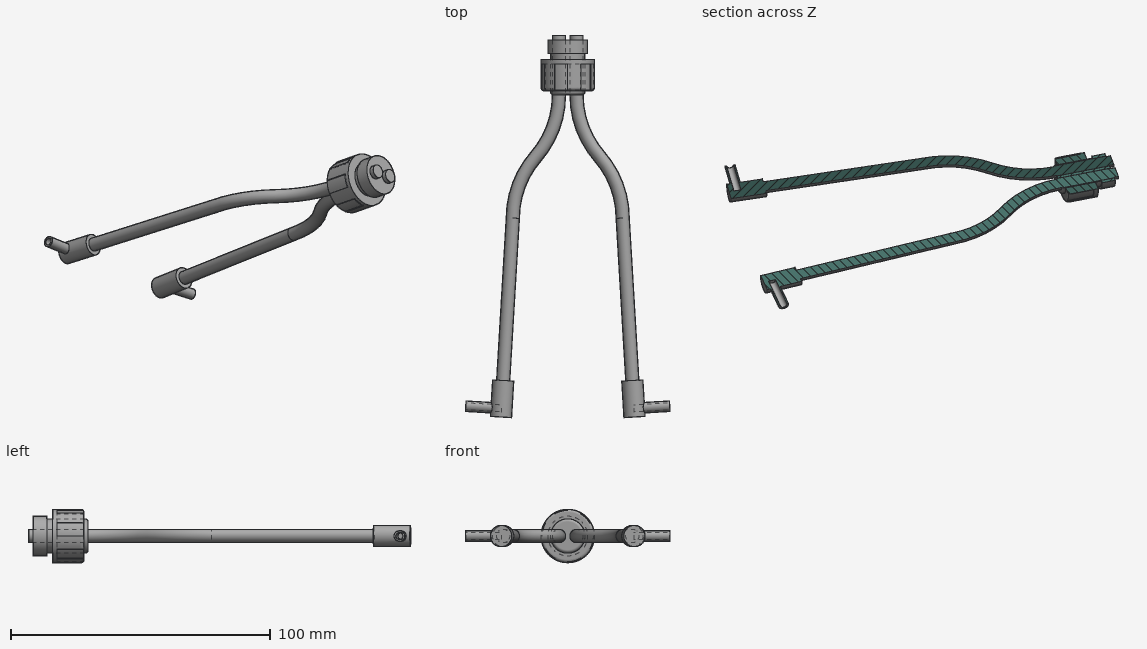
import cadquery as cq
import math


flange_radius = 7.7
flange_length = 5.3
plug_radius = 6.6
plug_length = 21.2
plug_edge_fillet = 1.2

nut_radius = 10.3
nut_front_y = -7.5
nut_length = 12.1
nut_edge_fillet = 1.2
grip_count = 6
grip_angle = 30.0
grip_pitch = 360.0 / grip_count
grip_depth = 0.5
grip_front_land = 1.8

cable_radius = 2.58
cable_offset = 3.4
cable_stub = 1.8
bend_angle = 41.0
bend_radius = 36.2
splay_angle = 3.4

overall_length = 147.3
elbow_radius = 4.1
elbow_length = 14.1
spout_radius = 2.0
spout_bore_radius = 1.3
spout_length = 13.8
spout_setback = 3.4

bend = math.radians(bend_angle)
splay = math.radians(splay_angle)
run_direction = cq.Vector(math.sin(splay), -math.cos(splay), 0)
spout_direction = cq.Vector(math.cos(splay), math.sin(splay), 0)


def rod(start, direction, length, radius):
    """Solid cylinder from a start point along a direction."""
    return cq.Workplane(cq.Solid.makeCylinder(radius, length, start, direction))


def axial_rod(front_y, length, radius, x=0):
    """Cylinder that starts at front_y and runs toward -Y."""
    return rod(cq.Vector(x, front_y, 0), cq.Vector(0, -1, 0), length, radius)


def make_plug():
    body = axial_rod(0, plug_length, plug_radius).faces("<Y").edges().fillet(plug_edge_fillet)
    plug = body.union(axial_rod(0, flange_length, flange_radius))
    for side in (-1, 1):
        plug = plug.cut(axial_rod(0, plug_length, cable_radius, side * cable_offset))
    return plug


def make_grip_cutter():
    """Ring sector that takes grip_depth off the nut, from its collar to its rear face."""
    floor_radius = nut_radius - grip_depth
    outer_radius = nut_radius + grip_depth
    length = nut_length - grip_front_land
    half_width = math.radians(grip_angle / 2)
    reach = 2 * nut_radius
    ring = axial_rod(nut_front_y - grip_front_land, length, outer_radius).cut(
        axial_rod(nut_front_y - grip_front_land, length, floor_radius)
    )
    wedge = (
        cq.Workplane("XZ", origin=(0, nut_front_y - grip_front_land, 0))
        .moveTo(0, 0)
        .lineTo(reach * math.cos(half_width), -reach * math.sin(half_width))
        .lineTo(reach * math.cos(half_width), reach * math.sin(half_width))
        .close()
        .extrude(length)
    )
    return ring.intersect(wedge)


def make_nut():
    nut = axial_rod(nut_front_y, nut_length, nut_radius).faces("<Y").edges().fillet(nut_edge_fillet)
    cutter = make_grip_cutter()
    for index in range(grip_count):
        turn = -(grip_pitch * index + grip_pitch - grip_angle / 2)
        nut = nut.cut(cutter.rotate((0, 0, 0), (0, 1, 0), turn))
    return nut.cut(axial_rod(nut_front_y, nut_length, plug_radius))


def bent_rod(straight_end, center_distance, angle):
    """Arc of cable, parallel to Y at straight_end; its center lies center_distance along X."""
    return (
        cq.Workplane("XZ", origin=straight_end.toTuple())
        .circle(cable_radius)
        .revolve(angle, (center_distance, 0, 0), (center_distance, 1, 0))
    )


def make_cable(side):
    """Cable with its elbow and hollow spout; side is +1 for +X and -1 for -X."""
    bend_dx = bend_radius * (1 - math.cos(bend))
    bend_dy = bend_radius * math.sin(bend)
    outward_start = cq.Vector(cable_offset, -plug_length, 0)
    run_start = outward_start + cq.Vector(2 * bend_dx, -2 * bend_dy, 0)
    elbow_end_y = cable_stub - overall_length + elbow_radius * math.sin(splay)
    run_length = (run_start.y - elbow_end_y) / math.cos(splay)
    elbow_start = run_start + run_direction * (run_length - elbow_length)

    kink_overlap = cable_radius * math.tan(splay)
    cable = axial_rod(cable_stub, cable_stub + plug_length, cable_radius, cable_offset)
    cable = cable.union(bent_rod(outward_start, bend_radius, bend_angle))
    cable = cable.union(bent_rod(run_start, -bend_radius, bend_angle))
    cable = cable.union(
        rod(
            run_start - run_direction * kink_overlap,
            run_direction,
            run_length - elbow_length + kink_overlap,
            cable_radius,
        )
    )

    spout_start = run_start + run_direction * (run_length - spout_setback)
    cable = cable.union(rod(elbow_start, run_direction, elbow_length, elbow_radius))
    cable = cable.union(rod(spout_start, spout_direction, spout_length, spout_radius))
    cable = cable.cut(rod(spout_start, spout_direction, spout_length, spout_bore_radius))
    return cable if side > 0 else cable.mirror("YZ")


plug = make_plug()
nut = make_nut()
cables = [make_cable(side) for side in (-1, 1)]

result = cq.Compound.makeCompound([plug.val(), nut.val(), *[cable.val() for cable in cables]])